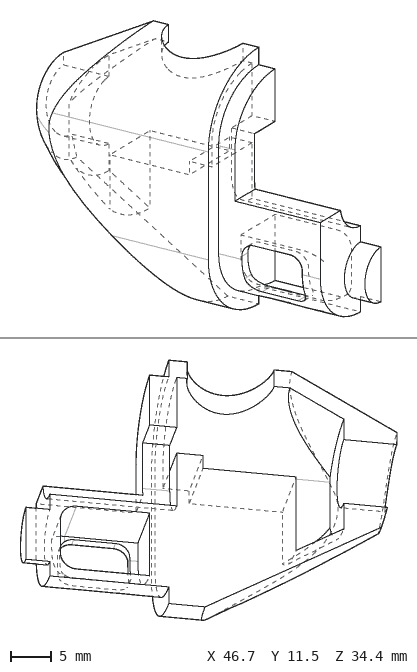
import cadquery as cq


HALF_HEIGHT = 17.205
DEPTH = 11.5
FLAT_HALF_HEIGHT = 7.23
WALL = 2.35

NOSE_TIP_X = -28.7
NOSE_TOP_Z = 9.95
NOSE_BOTTOM = (-26.74, -3.65)
NOSE_AXIS_POINT = (-28.4, 3.86)
NOSE_AXIS_TILT = 6.45
NOSE_STATIONS = (-2.5, 6.0, 14.0, 22.0, 31.0)
NOSE_DEPTH = 6.6
NOSE_DEPTH_GROWTH = 1.08
NOSE_DEPTH_CURVATURE = -0.0205
NOSE_UPPER_HEIGHT = 5.92
NOSE_UPPER_SLOPE = 0.41
NOSE_LOWER_HEIGHT = 7.0
NOSE_LOWER_SLOPE = 0.779

BORE_RADIUS = 4.5
BORE_Z = 3.75
TOP_HOLE_RADIUS = 5.45
TOP_HOLE_X = -7.8

PLATE_START_X = -1.0
NECK_END_X = 2.4
TAB_END_X = 14.95
TAB_TOP_Z = 0.35
TAB_WALL = 1.35
CHANNEL_RADIUS = 4.65
CHANNEL_BOTTOM_Z = -3.3
CHANNEL_TOP_Z = 7.8

POCKET_END_RADIUS = 2.0
WINDOW_LENGTH = 8.85
WINDOW_HEIGHT = 6.8
WINDOW_CORNER_RADIUS = 1.8
WINDOW_X = 7.85
WINDOW_Z = -8.4

PIN_RADIUS = 3.68
PIN_LENGTH = 3.01
PIN_Z = -9.13

CAVITY_START_X = -22.0
BLOCK_START_X = -16.0
BLOCK_STEP_X = -4.3
BLOCK_LOW_TOP_Z = 2.36
BLOCK_HIGH_TOP_Z = 4.17

AMPLE = 100.0


def span_box(x_range, y_range, z_range):
    """Box between two limits along each axis."""
    sizes = [high - low for low, high in (x_range, y_range, z_range)]
    corner = (x_range[0], y_range[0], z_range[0])
    return cq.Workplane("XY").box(*sizes, centered=False).translate(corner)


def body_prism(inset, start_x, end_x):
    """Body cross-section, shrunk by inset on every side, extruded along X on both sides of y = 0."""
    length = end_x - start_x
    depth = DEPTH - inset
    corner_height = HALF_HEIGHT - FLAT_HALF_HEIGHT - inset
    prism = span_box((start_x, end_x), (-depth, depth), (-FLAT_HALF_HEIGHT, FLAT_HALF_HEIGHT))
    for corner_z in (-FLAT_HALF_HEIGHT, FLAT_HALF_HEIGHT):
        plane = cq.Workplane("YZ", origin=(start_x, 0, corner_z))
        prism = prism.union(plane.ellipse(depth, corner_height).extrude(length))
    return prism


def nose_half(inset, height, slope, z_range):
    """Lofted ellipses along the X axis, kept only within z_range."""
    plane = cq.Workplane("YZ", origin=(NOSE_STATIONS[0], 0, 0))
    previous = NOSE_STATIONS[0]
    for station in NOSE_STATIONS:
        depth = NOSE_DEPTH + NOSE_DEPTH_GROWTH * station + NOSE_DEPTH_CURVATURE * station**2
        half_height = height + slope * station
        plane = plane.workplane(offset=station - previous).ellipse(depth - inset, half_height - inset)
        previous = station
    limits = span_box((-AMPLE, AMPLE), (-AMPLE, AMPLE), z_range)
    return plane.loft(combine=True).intersect(limits)


def nose_taper(inset):
    """Widening taper of the nose, unequal above and below its tilted axis."""
    upper = nose_half(inset, NOSE_UPPER_HEIGHT, NOSE_UPPER_SLOPE, (0, AMPLE))
    lower = nose_half(inset, NOSE_LOWER_HEIGHT, NOSE_LOWER_SLOPE, (-AMPLE, 0))
    axis_x, axis_z = NOSE_AXIS_POINT
    taper = upper.union(lower).rotate((0, 0, 0), (0, 1, 0), -NOSE_AXIS_TILT)
    return taper.translate((axis_x, 0, axis_z))


def nose_face_limit():
    """Prism along Y whose left side is the slightly bulging end face of the nose."""
    return (
        cq.Workplane("XZ", origin=(0, AMPLE / 2, 0))
        .moveTo(0, HALF_HEIGHT)
        .lineTo(NOSE_TIP_X, HALF_HEIGHT)
        .lineTo(NOSE_TIP_X, NOSE_TOP_Z)
        .tangentArcPoint(NOSE_BOTTOM, relative=False)
        .lineTo(NOSE_BOTTOM[0], -HALF_HEIGHT)
        .lineTo(0, -HALF_HEIGHT)
        .close()
        .extrude(AMPLE)
    )


def make_body():
    """Hollow tapered body with its nose bore, top hole and stepped inner block."""
    body = body_prism(0, NOSE_TIP_X, 0).intersect(nose_taper(0)).intersect(nose_face_limit())
    cavity = body_prism(WALL, CAVITY_START_X, PLATE_START_X).intersect(nose_taper(WALL))
    low_block = span_box((BLOCK_START_X, 0), (-AMPLE, AMPLE), (-AMPLE, BLOCK_LOW_TOP_Z))
    high_block = span_box((BLOCK_STEP_X, 0), (-AMPLE, AMPLE), (-AMPLE, BLOCK_HIGH_TOP_Z))
    cavity = cavity.cut(low_block).cut(high_block)

    bore_length = BLOCK_START_X - NOSE_TIP_X
    bore = cq.Workplane("YZ", origin=(NOSE_TIP_X, 0, BORE_Z)).circle(BORE_RADIUS).extrude(bore_length)
    top_hole = (
        cq.Workplane("XY", origin=(TOP_HOLE_X, 0, BLOCK_HIGH_TOP_Z))
        .circle(TOP_HOLE_RADIUS)
        .extrude(HALF_HEIGHT)
    )
    return body.cut(cavity).cut(bore).cut(top_hole)


def make_neck_and_tab():
    """Neck plate and the tab below it, with the cable channel on top and a pocket inside."""
    neck_and_tab = body_prism(WALL, 0, TAB_END_X)
    above_tab = span_box((NECK_END_X, TAB_END_X), (-AMPLE, AMPLE), (TAB_TOP_Z, AMPLE))
    neck_and_tab = neck_and_tab.cut(above_tab)

    pocket_top = CHANNEL_BOTTOM_Z - TAB_WALL
    pocket_limit = span_box((0, TAB_END_X), (-AMPLE, AMPLE), (-AMPLE, pocket_top))
    pocket = body_prism(WALL + TAB_WALL, NECK_END_X, TAB_END_X - TAB_WALL).intersect(pocket_limit)
    pocket = pocket.faces(">X").edges().fillet(POCKET_END_RADIUS)

    window = (
        cq.Workplane("XZ", origin=(WINDOW_X, 0, WINDOW_Z))
        .rect(WINDOW_LENGTH, WINDOW_HEIGHT)
        .extrude(DEPTH)
        .edges("|Y")
        .fillet(WINDOW_CORNER_RADIUS)
    )
    return neck_and_tab.cut(pocket).cut(window)


def make_channel():
    """Cable channel with a round bottom, running through the neck plate and along the tab."""
    length = TAB_END_X - PLATE_START_X
    centre_z = CHANNEL_BOTTOM_Z + CHANNEL_RADIUS
    round_bottom = (
        cq.Workplane("YZ", origin=(PLATE_START_X, 0, centre_z)).circle(CHANNEL_RADIUS).extrude(length)
    )
    straight_sides = span_box(
        (PLATE_START_X, TAB_END_X), (-CHANNEL_RADIUS, CHANNEL_RADIUS), (centre_z, CHANNEL_TOP_Z)
    )
    return round_bottom.union(straight_sides)


def make_pin():
    """Round pin on the end of the tab."""
    return cq.Workplane("YZ", origin=(TAB_END_X, 0, PIN_Z)).circle(PIN_RADIUS).extrude(PIN_LENGTH)


whole = make_body().union(make_neck_and_tab()).cut(make_channel()).union(make_pin())
kept_side = span_box((-AMPLE, AMPLE), (-AMPLE, 0), (-AMPLE, AMPLE))
result = whole.intersect(kept_side)